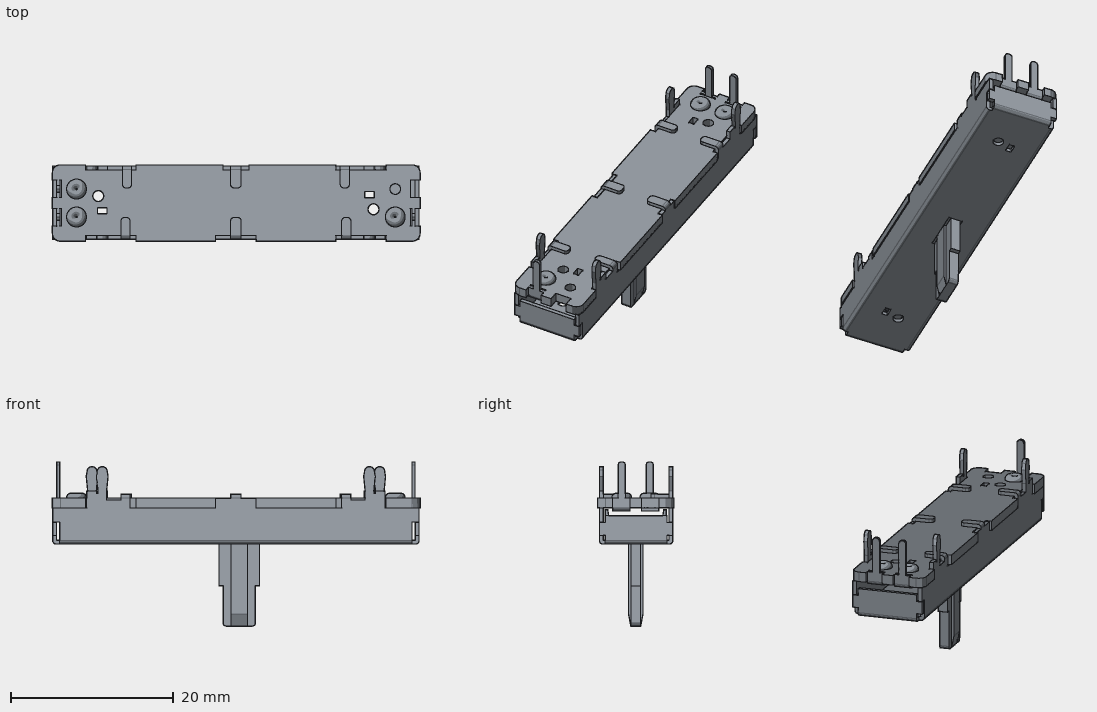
import cadquery as cq

SIDES = (-1, 1)

CASE_LENGTH = 45.0
CASE_WIDTH = 9.05
SHEET = 0.5
BEND_RADIUS = 0.45
WALL_TOP = 4.47
INNER_X = CASE_LENGTH / 2 - SHEET
INNER_Y = CASE_WIDTH / 2 - SHEET

END_WALL_TOP = 3.53
END_WALL_HALF = 3.8
CORNER_X = 21.65
CORNER_TOP = 2.7
LIP_BOTTOM = 1.1
LIP_TOP = 2.65

BOARD_LENGTH = 45.2
BOARD_WIDTH = 9.4
BOARD_THICKNESS = 1.2
BOARD_X = 0.05
BOARD_Y = -0.05
BOARD_TOP = WALL_TOP + BOARD_THICKNESS
BOARD_CORNER_RADIUS = 1.0

CORNER_NOTCH_OUTER = 18.45
CORNER_NOTCH_INNER = 12.3
MIDDLE_HALF = {-1: 2.5, 1: 1.6}

HOLE_DIAMETER = 1.3
HOLE_X = 16.9
HOLE_Y = 0.8
WINDOW_LENGTH = 1.15
WINDOW_WIDTH = 0.72
WINDOW_X = 16.4
WINDOW_Y = 1.0

TERMINAL_PITCH = 3.45
TERMINAL_SHEET = 0.4
TERMINAL_OUTER_X = 22.0
TERMINAL_WIDTH = 2.12
TERMINAL_Y = 1.75
PIN_WIDTH = 0.9
PIN_TOP = 10.12
PIN_TIP_RADIUS = 0.4
END_NOTCH_X = 21.42
RIVET_X = 19.55
RIVET_RADIUS = 1.2
RIVET_HEIGHT = 0.6
RIVET_DIMPLE_RADIUS = 0.1
TERMINALS = ((-1, -1), (-1, 1), (1, -1))
EMPTY_RIVET_HOLE = (1, 1)

EAR_OUTER = 18.25
EAR_TOP = 5.42
MIDDLE_EAR_TOP = 5.6
SHOULDER_TOP = 6.5
SHOULDER_LENGTH = 1.2
LUG_GAP = 0.16
LUG_GAP_BOTTOM = 6.25
LUG_X = {-1: 16.4, 1: 17.67}
LUG_TOP = 9.55
LUG_TIP_START = 9.15
LUG_WIDEST = 8.3
LUG_NECK_HALF = 0.55
LUG_WIDEST_HALF = 0.72
LUG_TIP_HALF = 0.6
TAB_X = {-1: 13.55, 1: 13.4}
TAB_WIDTH = 1.15
MIDDLE_TAB_WIDTH = 1.3
TAB_REACH = 1.8
TAB_TOP = BOARD_TOP + 0.45
TAB_TIP_RADIUS = 0.45

LEVER_X = 0.4
LEVER_Y = -0.05
LEVER_WIDTH = 5.0
LEVER_STEP_Z = -5.1
LEVER_TIP_WIDTH = 4.0
LEVER_BOTTOM = -10.1
LEVER_THICKNESS = 1.2
LEVER_CORNER_RADIUS = 0.4
RIB_WIDTH = 2.05
RIB_THICKNESS = 1.8
RIB_TAPER_Z = -8.6
CARRIAGE_HALF = 3.75
CARRIAGE_TOP = 1.8
RAIL_TOP = 4.25
RAIL_BASE = 0.72
RAIL_TIP = 0.3


def block(x, y, z):
    """Box between pairs of limits along each axis, given in either order."""
    low = [min(pair) for pair in (x, y, z)]
    size = [abs(pair[1] - pair[0]) for pair in (x, y, z)]
    return cq.Workplane("XY").box(*size, centered=False).translate(tuple(low))


def side_wall_block(side, x, z):
    """Piece of sheet in the plane of one long side wall."""
    return block(x, (side * INNER_Y, side * CASE_WIDTH / 2), z)


def make_tray():
    tray = (
        cq.Workplane("XY")
        .box(CASE_LENGTH, CASE_WIDTH, WALL_TOP, centered=(True, True, False))
        .faces("<Z").edges().fillet(BEND_RADIUS)
    )
    tray = tray.cut(block((-INNER_X, INNER_X), (-INNER_Y, INNER_Y), (SHEET, WALL_TOP)))
    for end in SIDES:
        wall_x = (end * INNER_X, end * CASE_LENGTH / 2)
        tray = tray.cut(block(wall_x, (-INNER_Y, INNER_Y), (END_WALL_TOP, WALL_TOP)))
        for side in SIDES:
            gap_y = (side * END_WALL_HALF, side * INNER_Y)
            lip_y = (side * END_WALL_HALF, side * CASE_WIDTH / 2)
            corner_x = (end * CORNER_X, end * CASE_LENGTH / 2)
            tray = tray.cut(block(wall_x, gap_y, (0, END_WALL_TOP)))
            tray = tray.cut(block(corner_x, lip_y, (0, CORNER_TOP)))
            tray = tray.union(block(wall_x, lip_y, (LIP_BOTTOM, LIP_TOP)))
    return tray


def make_lug(side, end):
    """Paddle-shaped mounting lug standing on an ear."""
    center = end * LUG_X[side]
    outline = (
        cq.Workplane("XZ")
        .moveTo(center - LUG_NECK_HALF, WALL_TOP)
        .lineTo(center - LUG_NECK_HALF, SHOULDER_TOP)
        .lineTo(center - LUG_WIDEST_HALF, LUG_WIDEST)
        .lineTo(center - LUG_TIP_HALF, LUG_TIP_START)
        .threePointArc((center, LUG_TOP), (center + LUG_TIP_HALF, LUG_TIP_START))
        .lineTo(center + LUG_WIDEST_HALF, LUG_WIDEST)
        .lineTo(center + LUG_NECK_HALF, SHOULDER_TOP)
        .lineTo(center + LUG_NECK_HALF, WALL_TOP)
        .close()
    )
    inner = INNER_Y if side > 0 else -CASE_WIDTH / 2
    return outline.extrude(-SHEET).translate((0, inner, 0))


def make_tab(side, x, width):
    """Tab rising from a side wall and folded over the top of the board."""
    outer = side * CASE_WIDTH / 2
    span = (x - width / 2, x + width / 2)
    edge = ">Y" if side > 0 else "<Y"
    tip = "<Y" if side > 0 else ">Y"
    tab = block(span, (side * TAB_REACH, outer), (BOARD_TOP, TAB_TOP))
    tab = tab.faces(tip).edges("|Z").fillet(TAB_TIP_RADIUS)
    tab = tab.union(side_wall_block(side, span, (WALL_TOP, BOARD_TOP)))
    return tab.faces(edge).edges(">Z").fillet(BEND_RADIUS)


def make_corner_ear(side, end):
    """Ear near one corner, carrying a shoulder, a lug and a clamping tab."""
    tab_x = TAB_X[side]
    ear_x = (end * (tab_x - TAB_WIDTH / 2), end * EAR_OUTER)
    ear = side_wall_block(side, ear_x, (WALL_TOP, EAR_TOP))
    shoulder_start = LUG_X[side] - side * (LUG_NECK_HALF + LUG_GAP)
    shoulder_end = shoulder_start - side * SHOULDER_LENGTH
    shoulder_x = (end * shoulder_start, end * shoulder_end)
    ear = ear.union(side_wall_block(side, shoulder_x, (WALL_TOP, SHOULDER_TOP)))
    link_x = (end * LUG_X[side], end * shoulder_end)
    ear = ear.union(side_wall_block(side, link_x, (WALL_TOP, LUG_GAP_BOTTOM)))
    ear = ear.union(make_lug(side, end))
    return ear.union(make_tab(side, end * tab_x, TAB_WIDTH))


def make_case():
    case = make_tray()
    for side in SIDES:
        half = MIDDLE_HALF[side]
        case = case.union(side_wall_block(side, (-half, half), (WALL_TOP, MIDDLE_EAR_TOP)))
        case = case.union(make_tab(side, 0, MIDDLE_TAB_WIDTH))
        for end in SIDES:
            case = case.union(make_corner_ear(side, end))
    return case


def make_board():
    z = (WALL_TOP, BOARD_TOP)
    board = (
        cq.Workplane("XY")
        .box(BOARD_LENGTH, BOARD_WIDTH, BOARD_THICKNESS, centered=(True, True, False))
        .edges("|Z").fillet(BOARD_CORNER_RADIUS)
        .translate((BOARD_X, BOARD_Y, WALL_TOP))
    )
    for side in SIDES:
        notch_y = (side * INNER_Y, side * BOARD_WIDTH)
        half = MIDDLE_HALF[side]
        board = board.cut(block((-half, half), notch_y, z))
        for end in SIDES:
            notch_x = (end * CORNER_NOTCH_INNER, end * CORNER_NOTCH_OUTER)
            board = board.cut(block(notch_x, notch_y, z))
            middle = BOARD_Y + side * TERMINAL_Y
            clip_y = (middle - TERMINAL_WIDTH / 2, middle + TERMINAL_WIDTH / 2)
            board = board.cut(block((end * END_NOTCH_X, end * BOARD_LENGTH), clip_y, z))
    return board


def make_terminal(end, side):
    """Bent terminal: a foot under the board and a plate narrowing to a pin, built at the -X end."""
    foot_bottom = WALL_TOP - TERMINAL_SHEET
    half = TERMINAL_WIDTH / 2
    plate_x = (-TERMINAL_OUTER_X, -TERMINAL_OUTER_X + TERMINAL_SHEET)
    foot_x = (-TERMINAL_OUTER_X, -RIVET_X)
    foot = block(foot_x, (-half, half), (foot_bottom, WALL_TOP))
    plate = block(plate_x, (-half, half), (foot_bottom, BOARD_TOP))
    clip = foot.union(plate).edges("<X and <Z").fillet(TERMINAL_SHEET)
    pin = block(plate_x, (-PIN_WIDTH / 2, PIN_WIDTH / 2), (BOARD_TOP, PIN_TOP))
    pin = pin.faces(">Z").edges("|X").fillet(PIN_TIP_RADIUS)
    if end > 0:
        clip = clip.mirror("YZ")
        pin = pin.mirror("YZ")
    clip = clip.translate((0, BOARD_Y + side * TERMINAL_Y, 0))
    return clip.union(pin.translate((0, BOARD_Y + side * TERMINAL_PITCH / 2, 0)))


def make_rivet(end, side):
    """Ring-shaped rivet head, rounded over and dipping down to the board in its middle."""
    crest = (RIVET_RADIUS + RIVET_DIMPLE_RADIUS) / 2
    head = (
        cq.Workplane("XZ")
        .moveTo(RIVET_DIMPLE_RADIUS, 0)
        .threePointArc((crest, RIVET_HEIGHT), (RIVET_RADIUS, 0))
        .close()
        .revolve(360, (0, 0, 0), (0, 1, 0))
    )
    return head.translate((end * RIVET_X, BOARD_Y + side * TERMINAL_PITCH / 2, BOARD_TOP))


def round_hole(x, y, bottom):
    return cq.Workplane("XY", origin=(x, y, bottom)).circle(HOLE_DIAMETER / 2).extrude(BOARD_TOP - bottom)


def make_housing():
    housing = make_case().union(make_board())
    for end, side in TERMINALS:
        housing = housing.union(make_terminal(end, side)).union(make_rivet(end, side))
    for end in SIDES:
        housing = housing.cut(round_hole(end * HOLE_X, -end * HOLE_Y, 0))
        window = cq.Workplane("XY").rect(WINDOW_LENGTH, WINDOW_WIDTH).extrude(BOARD_TOP)
        housing = housing.cut(window.translate((end * WINDOW_X, end * WINDOW_Y, 0)))
    end, side = EMPTY_RIVET_HOLE
    housing = housing.cut(round_hole(end * RIVET_X, BOARD_Y + side * TERMINAL_PITCH / 2, WALL_TOP))
    slot = cq.Workplane("XY").rect(LEVER_WIDTH, RIB_THICKNESS).extrude(SHEET)
    return housing.cut(slot.translate((LEVER_X, LEVER_Y, 0)))


def make_lever():
    """Lever with a central rib, on a railed carriage that rides on the case floor."""
    half = LEVER_WIDTH / 2
    flat_y = (-LEVER_THICKNESS / 2, LEVER_THICKNESS / 2)
    upper = block((-half, half), flat_y, (LEVER_STEP_Z, 0))
    tip_x = (-LEVER_TIP_WIDTH / 2, LEVER_TIP_WIDTH / 2)
    tip = block(tip_x, flat_y, (LEVER_BOTTOM, LEVER_STEP_Z))
    tip = tip.faces("<Z").edges("|Y").fillet(LEVER_CORNER_RADIUS)
    rib = (
        cq.Workplane("YZ")
        .moveTo(-RIB_THICKNESS / 2, 0)
        .lineTo(-RIB_THICKNESS / 2, RIB_TAPER_Z)
        .lineTo(-LEVER_THICKNESS / 2, LEVER_BOTTOM)
        .lineTo(LEVER_THICKNESS / 2, LEVER_BOTTOM)
        .lineTo(RIB_THICKNESS / 2, RIB_TAPER_Z)
        .lineTo(RIB_THICKNESS / 2, 0)
        .close()
        .extrude(RIB_WIDTH / 2, both=True)
    )
    neck = block((-half, half), (-RIB_THICKNESS / 2, RIB_THICKNESS / 2), (0, SHEET))
    carriage = block((-half, half), (-CARRIAGE_HALF, CARRIAGE_HALF), (SHEET, CARRIAGE_TOP))
    lever = upper.union(tip).union(rib).union(neck).union(carriage)
    for side in SIDES:
        rail = cq.Workplane("YZ").polyline([
            (side * CARRIAGE_HALF, CARRIAGE_TOP),
            (side * CARRIAGE_HALF, RAIL_TOP),
            (side * (CARRIAGE_HALF - RAIL_TIP), RAIL_TOP),
            (side * (CARRIAGE_HALF - RAIL_BASE), CARRIAGE_TOP),
        ]).close().extrude(half, both=True)
        lever = lever.union(rail)
    return lever.translate((LEVER_X, LEVER_Y, 0))


housing = make_housing().solids()
lever = make_lever().solids()
result = cq.Compound.makeCompound([housing.val(), lever.val()])